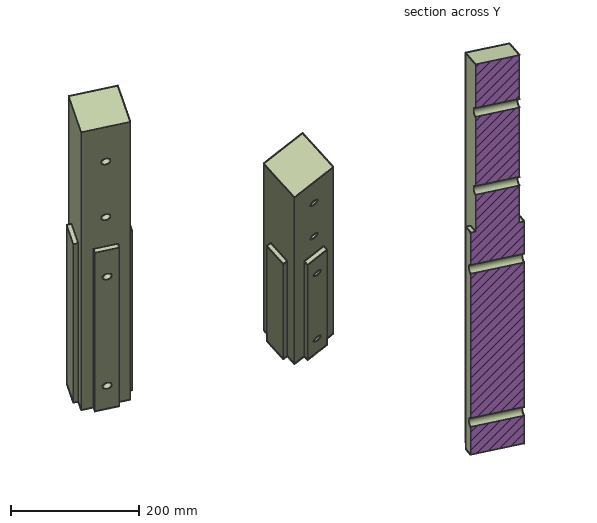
import cadquery as cq

length = 700.0
outer_x = 91.0
outer_y = 96.0

core_x = 75.0
strip_thickness = (outer_x - core_x) / 2
core_y = outer_y - 2 * strip_thickness

strip_width = 40.0
strip_length = 400.0

hole_diameter = 15.0
hole_heights = [58.0, 333.0, 473.0, 613.0]


def upright_bar(size_x, size_y, height):
    """Rectangular bar centred on the Z axis, standing on the base plane."""
    return cq.Workplane("XY").rect(size_x, size_y).extrude(height)


def cross_hole(height):
    """Cylinder along X, long enough to pass through the core and both X strips."""
    return (
        cq.Workplane("YZ")
        .center(0, height)
        .circle(hole_diameter / 2)
        .extrude(outer_x / 2, both=True)
    )


result = upright_bar(core_x, core_y, length)
result = result.union(upright_bar(outer_x, strip_width, strip_length))
result = result.union(upright_bar(strip_width, outer_y, strip_length))

for hole_height in hole_heights:
    result = result.cut(cross_hole(hole_height))